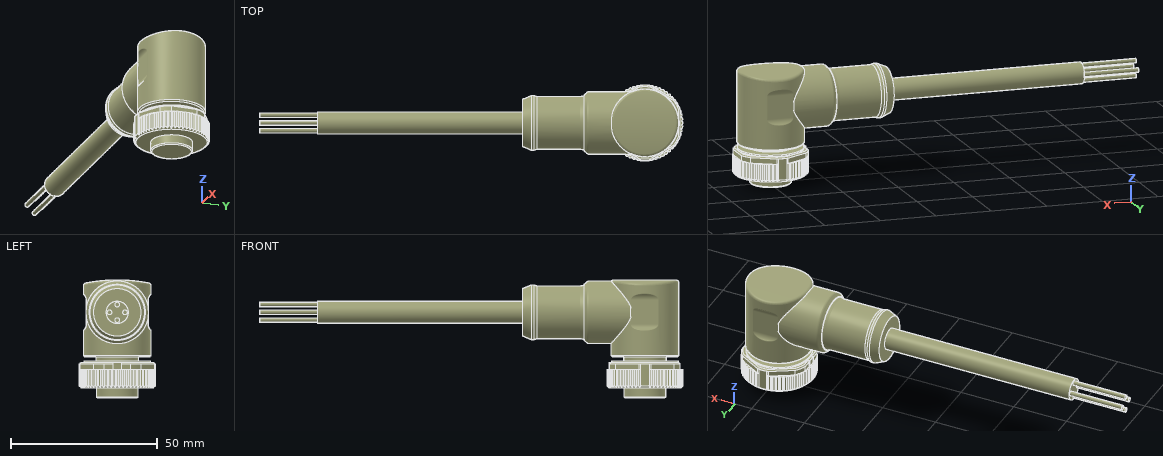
import cadquery as cq
import math


HOUSING_RADIUS = 11.6
HOUSING_TOP = 11.1
HOUSING_BOTTOM = -15.2
ROOF_RADIUS = 55.0
ROOF_EDGE_FILLET = 1.0
HOUSING_BOTTOM_CHAMFER = 0.5

FLAT_DISTANCE = 10.6
FLAT_HALF_HEIGHT = 4.1
RECESS_HALF_HEIGHT = 6.2
RECESS_HALF_WIDTH = 4.85
RECESS_EDGE_FILLET = 0.3

SHOULDER_RADIUS = 10.7
SHOULDER_FILLET = 0.8
SHOULDER_EDGE_REACH = 0.2
SHOULDER_START = -19.5
SHOULDER_FOOT = -20.7
SHOULDER_FOOT_RADIUS = 9.6
WAIST_RADIUS = 9.05
WAIST_BLEND_RADIUS = 9.3
WAIST_START = -22.0
WAIST_END = -36.9
BEAD_RADIUS = 9.4
BEAD_START = -37.9
BEAD_END = -38.7
GRIP_END = -41.8
GRIP_END_RADIUS = 8.1

JACKET_RADIUS = 3.8
JACKET_END = -111.8
WIRE_RADIUS = 0.8
WIRE_PITCH_RADIUS = 2.65
WIRE_COUNT = 4
WIRE_END = -131.5
WIRE_EMBED = 2.0

NUT_RADIUS = 12.99
NUT_TOP = -16.6
NUT_BOTTOM = -25.9
NUT_BOTTOM_CHAMFER = 0.8
COLLAR_BOTTOM = -19.5
COLLAR_RADIUS = 12.9
COLLAR_CHAMFER = 0.5
COLLAR_RIM_RADIUS = 11.4
COLLAR_RIM_HEIGHT = 0.5
COLLAR_TOP = NUT_TOP - COLLAR_RIM_HEIGHT
HEX_SIDES = 6
HEX_FLAT_DISTANCE = 12.05
NECK_RADIUS = 7.3
INSERT_RADIUS = 7.15
INSERT_BOTTOM = -29.26
INSERT_CHAMFER = 0.4

KNURLS_PER_SIDE = 28
KNURL_FIRST_ANGLE = 8.0
KNURL_DEPTH = 0.45
KNURL_HALF_WIDTH = 0.42
STRIP_HALF_WIDTH = 1.5
STRIP_BOTTOM = -25.0
INDEX_MARK_WIDTH = 2.8
INDEX_MARK_HEIGHT = 0.2

OVERLAP = 1.0


def z_cylinder(radius, bottom, top):
    return cq.Workplane("XY").workplane(offset=bottom).circle(radius).extrude(top - bottom)


def x_cylinder(radius, start, end):
    return cq.Workplane("YZ").workplane(offset=start).circle(radius).extrude(end - start)


def make_housing():
    """Upright cylinder with a roof curved across Y and a rounded top rim."""
    body = z_cylinder(HOUSING_RADIUS, HOUSING_BOTTOM, HOUSING_TOP + OVERLAP)
    roof_length = 2 * (HOUSING_RADIUS + OVERLAP)
    roof = x_cylinder(ROOF_RADIUS, -roof_length / 2, roof_length / 2)
    roof = roof.translate((0, 0, HOUSING_TOP - ROOF_RADIUS))
    body = body.intersect(roof)
    body = body.faces(">Z").edges().fillet(ROOF_EDGE_FILLET)
    return body.faces("<Z").edges().chamfer(HOUSING_BOTTOM_CHAMFER)


def make_recess_cutter(side):
    """Flat cut on one side (+1 or -1 along Y), run out by arcs above and below."""
    depth = HOUSING_RADIUS - FLAT_DISTANCE
    run_out = RECESS_HALF_HEIGHT - FLAT_HALF_HEIGHT
    arc_radius = (run_out ** 2 + depth ** 2) / (2 * depth)
    half_angle = math.atan2(depth, run_out)
    mid_y = FLAT_DISTANCE + arc_radius * (1 - math.cos(half_angle))
    mid_z = FLAT_HALF_HEIGHT + arc_radius * math.sin(half_angle)
    outer_y = HOUSING_RADIUS + OVERLAP
    return (
        cq.Workplane("YZ")
        .moveTo(side * FLAT_DISTANCE, -FLAT_HALF_HEIGHT)
        .lineTo(side * FLAT_DISTANCE, FLAT_HALF_HEIGHT)
        .threePointArc((side * mid_y, mid_z), (side * HOUSING_RADIUS, RECESS_HALF_HEIGHT))
        .lineTo(side * outer_y, RECESS_HALF_HEIGHT)
        .lineTo(side * outer_y, -RECESS_HALF_HEIGHT)
        .lineTo(side * HOUSING_RADIUS, -RECESS_HALF_HEIGHT)
        .threePointArc((side * mid_y, -mid_z), (side * FLAT_DISTANCE, -FLAT_HALF_HEIGHT))
        .close()
        .extrude(RECESS_HALF_WIDTH, both=True)
    )


def make_grip():
    """Turned grip profile revolved about the cable axis."""
    profile = [
        (0, 0),
        (0, SHOULDER_RADIUS),
        (SHOULDER_START, SHOULDER_RADIUS),
        (SHOULDER_FOOT, SHOULDER_FOOT_RADIUS),
        (SHOULDER_FOOT, WAIST_BLEND_RADIUS),
        (WAIST_START, WAIST_RADIUS),
        (WAIST_END, WAIST_RADIUS),
        (BEAD_START, BEAD_RADIUS),
        (BEAD_END, BEAD_RADIUS),
        (GRIP_END, GRIP_END_RADIUS),
        (GRIP_END, 0),
    ]
    grip = cq.Workplane("XZ").polyline(profile).close().revolve(360, (0, 0, 0), (1, 0, 0))
    shoulder_edge = cq.selectors.BoxSelector(
        (SHOULDER_START - SHOULDER_EDGE_REACH, -HOUSING_RADIUS, -HOUSING_RADIUS),
        (SHOULDER_START + SHOULDER_EDGE_REACH, HOUSING_RADIUS, HOUSING_RADIUS),
    )
    return grip.edges(shoulder_edge).edges("%CIRCLE").fillet(SHOULDER_FILLET)


def make_cable():
    """Round jacket with the wires standing out of its end."""
    cable = x_cylinder(JACKET_RADIUS, JACKET_END, GRIP_END + OVERLAP)
    for index in range(WIRE_COUNT):
        angle = math.radians(index * 360 / WIRE_COUNT)
        y = WIRE_PITCH_RADIUS * math.cos(angle)
        z = WIRE_PITCH_RADIUS * math.sin(angle)
        wire = x_cylinder(WIRE_RADIUS, WIRE_END, JACKET_END + WIRE_EMBED)
        cable = cable.union(wire.translate((0, y, z)))
    return cable


def make_collar():
    """Chamfered hexagon with rounded corners on Y, a round top rim and an index mark at -X."""
    hex_corner_diameter = 2 * HEX_FLAT_DISTANCE / math.cos(math.pi / HEX_SIDES)
    height = COLLAR_TOP - COLLAR_BOTTOM
    hexagon = (
        cq.Workplane("XY")
        .workplane(offset=COLLAR_BOTTOM)
        .polygon(HEX_SIDES, hex_corner_diameter)
        .extrude(height)
        .rotate((0, 0, 0), (0, 0, 1), 180 / HEX_SIDES)
    )
    collar = hexagon.intersect(z_cylinder(COLLAR_RADIUS, COLLAR_BOTTOM, COLLAR_TOP))
    collar = collar.faces(">Z").edges().chamfer(COLLAR_CHAMFER)
    mark_depth = HEX_FLAT_DISTANCE + INDEX_MARK_HEIGHT
    mark = (
        cq.Workplane("XY")
        .workplane(offset=COLLAR_BOTTOM)
        .center(-mark_depth / 2, 0)
        .rect(mark_depth, INDEX_MARK_WIDTH)
        .extrude(height)
    )
    rim = z_cylinder(COLLAR_RIM_RADIUS, COLLAR_BOTTOM, NUT_TOP)
    return collar.union(mark).union(rim)


def make_knurled_ring():
    """Ring with V grooves all round except at the two thumb strips on the Y axis."""
    ring = z_cylinder(NUT_RADIUS, NUT_BOTTOM, COLLAR_BOTTOM)
    ring = ring.faces("<Z").edges().chamfer(NUT_BOTTOM_CHAMFER)
    pitch_angle = (180 - 2 * KNURL_FIRST_ANGLE) / (KNURLS_PER_SIDE - 1)
    groove_mouth = NUT_RADIUS + KNURL_DEPTH
    groove_half_mouth = 2 * KNURL_HALF_WIDTH
    groove = (
        cq.Workplane("XY")
        .workplane(offset=NUT_BOTTOM)
        .polyline([
            (NUT_RADIUS - KNURL_DEPTH, 0),
            (groove_mouth, groove_half_mouth),
            (groove_mouth, -groove_half_mouth),
        ])
        .close()
        .extrude(COLLAR_BOTTOM - NUT_BOTTOM)
        .val()
    )
    grooves = []
    for strip_angle in (90, 270):
        for index in range(KNURLS_PER_SIDE):
            angle = strip_angle + KNURL_FIRST_ANGLE + index * pitch_angle
            grooves.append(groove.rotate(cq.Vector(0, 0, 0), cq.Vector(0, 0, 1), angle))
    return ring.cut(cq.Workplane("XY").newObject([cq.Compound.makeCompound(grooves)]))


def make_thumb_strips():
    """Smooth strips at both Y ends, running from the collar chamfer down the ring."""
    top = COLLAR_TOP - COLLAR_CHAMFER
    envelope = z_cylinder(NUT_RADIUS, STRIP_BOTTOM, top)
    bar = (
        cq.Workplane("XY")
        .workplane(offset=STRIP_BOTTOM)
        .rect(2 * STRIP_HALF_WIDTH, 2 * NUT_RADIUS + OVERLAP)
        .extrude(top - STRIP_BOTTOM)
    )
    return envelope.intersect(bar)


def make_insert():
    """Contact insert below the nut, plain at its end face."""
    insert = z_cylinder(INSERT_RADIUS, INSERT_BOTTOM, NUT_BOTTOM + OVERLAP)
    return insert.faces("<Z").edges().chamfer(INSERT_CHAMFER)


housing = make_housing()
grip = make_grip()
for flat_side in (1, -1):
    recess_cutter = make_recess_cutter(flat_side)
    housing = housing.cut(recess_cutter)
    grip = grip.cut(recess_cutter)
    recess_face = housing.faces(cq.selectors.NearestToPointSelector((0, flat_side * FLAT_DISTANCE, 0)))
    housing = recess_face.edges("|Z").fillet(RECESS_EDGE_FILLET)
elbow = housing.union(grip)

neck = z_cylinder(NECK_RADIUS, NUT_TOP - OVERLAP, HOUSING_BOTTOM + OVERLAP)
nut = make_collar().union(make_knurled_ring()).union(make_thumb_strips())

result = elbow.union(make_cable()).union(neck).union(nut).union(make_insert())